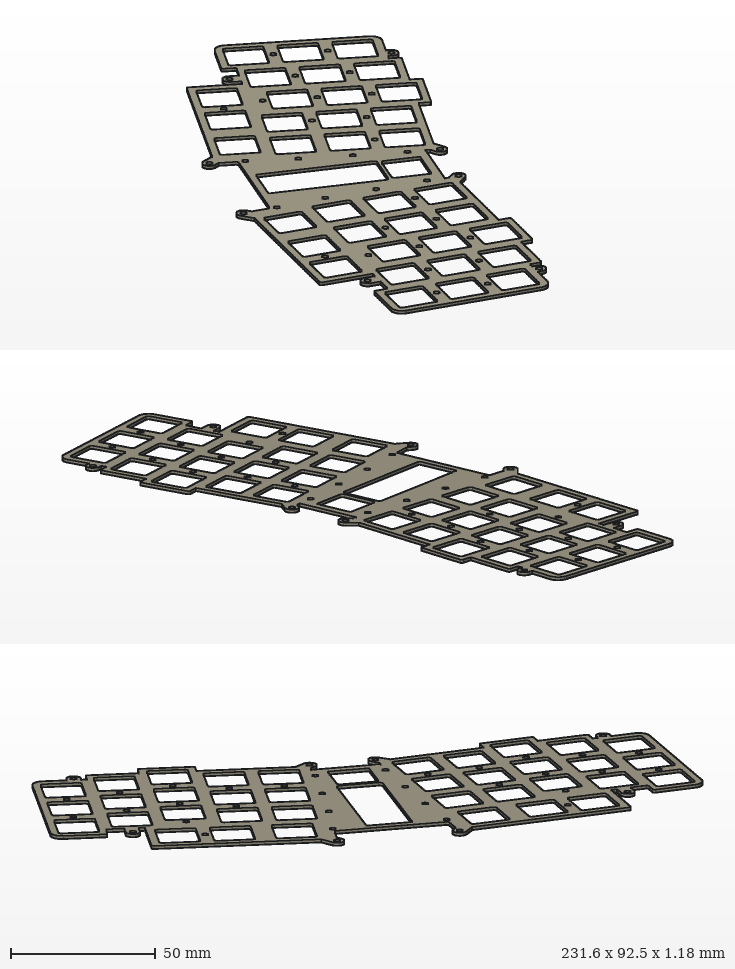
import cadquery as cq
import math

THICKNESS = 1.18
TILT = 7.0

PITCH = 19.05
SWITCH = 14.25
SWITCH_RADIUS = 1.0
INNER_COLUMN = 27.35
COLUMNS = [INNER_COLUMN + i * PITCH for i in range(5)]
COLUMN_STAGGER = [3.85, 3.85, 8.6, 3.85, -0.9]
ROWS = (-1, 0, 1)
THUMB_KEYS = [29.7, 51.2, 70.25]
THUMB_ROW = -34.25

MARGIN = 10.0
INNER_EDGE = 16.0
TALL_STEP = 4.5
THUMB_OUTER_EXTRA = 0.2
OUTER_TRIM = 0.08
OUTER_TOP_EXTRA = 0.35
NOTCH_EDGE = COLUMNS[3] + PITCH / 2
SHORT_TOP = COLUMN_STAGGER[0] + PITCH + MARGIN
TALL_TOP = SHORT_TOP + TALL_STEP
OUTER_TOP = COLUMN_STAGGER[4] + PITCH + MARGIN + OUTER_TOP_EXTRA
OUTER_BOTTOM = COLUMN_STAGGER[4] - PITCH - MARGIN
NOTCH_TOP = COLUMN_STAGGER[3] - 1.5 * PITCH
THUMB_OUTER = THUMB_KEYS[2] + MARGIN + THUMB_OUTER_EXTRA
THUMB_BOTTOM = THUMB_ROW - MARGIN
OUTER_EDGE = COLUMNS[4] + MARGIN - OUTER_TRIM
OUTER_RADIUS = 4.0
STEP_RADIUS = 0.7

TAB_RADIUS = 2.5
TAB_HOLE = 2.2
PLATE_HOLE = 2.1
TOP_TAB = (98.5, 30.0)
BOTTOM_TAB = (85.1, -28.5)
INNER_TOP_TAB = (16.0, 34.4)
INNER_BOTTOM_TAB = (16.3, -46.1)
INNER_TAB_ANGLE = 45
INNER_TAB_REACH = 5.0
INNER_HOLES_AT = 15.35
LOWER_HOLE = (16.25, -33.6)

PANEL_TOP = 31.0
PANEL_BOTTOM = -33.85
PANEL_OVERLAP = 2.0
PANEL_CORNER_RADIUS = 1.0
SMALL_WINDOW = (14.7, 13.6, 27.7)
LARGE_WINDOW = (16.3, -31.0, 12.2)
FACING_RADIUS = 1.2
FAR_RADIUS = 0.5


def disc(centre, diameter):
    return cq.Workplane("XY").center(*centre).circle(diameter / 2).extrude(THICKNESS)


def round_corners(body, corners, radius):
    """Fillet the upright edges standing on the given corner points."""
    for corner in corners:
        nearest = cq.selectors.NearestToPointSelector((*corner, THICKNESS / 2))
        body = body.edges("|Z").edges(nearest).fillet(radius)
    return body


def key_field():
    step_in = COLUMNS[2] - MARGIN
    step_out = COLUMNS[2] + MARGIN
    outline = [
        (INNER_EDGE, SHORT_TOP),
        (step_in, SHORT_TOP),
        (step_in, TALL_TOP),
        (step_out, TALL_TOP),
        (step_out, SHORT_TOP),
        (NOTCH_EDGE, SHORT_TOP),
        (NOTCH_EDGE, OUTER_TOP),
        (OUTER_EDGE, OUTER_TOP),
        (OUTER_EDGE, OUTER_BOTTOM),
        (NOTCH_EDGE, OUTER_BOTTOM),
        (NOTCH_EDGE, NOTCH_TOP),
        (THUMB_OUTER, NOTCH_TOP),
        (THUMB_OUTER, THUMB_BOTTOM),
        (INNER_EDGE, THUMB_BOTTOM),
    ]
    step_corners = [outline[i] for i in (2, 3, 5, 9, 10, 12)]
    outer_corners = outline[7:9]
    body = cq.Workplane("XY").polyline(outline).close().extrude(THICKNESS)
    body = round_corners(body, step_corners, STEP_RADIUS)
    return round_corners(body, outer_corners, OUTER_RADIUS)


def straight_tab(centre, root):
    """Round-ended tab running along V from the plate at height root."""
    u, v = centre
    width = 2 * TAB_RADIUS
    stem = cq.Workplane("XY").center(u, (v + root) / 2).rect(width, abs(v - root)).extrude(THICKNESS)
    return stem.union(disc(centre, width))


def slanted_tab(centre, direction):
    """Round-ended tab whose stem slants outward into the plate, rising (1) or falling (-1)."""
    width = 2 * TAB_RADIUS
    stem = cq.Workplane("XY").center(INNER_TAB_REACH / 2, 0).rect(INNER_TAB_REACH, width).extrude(THICKNESS)
    stem = stem.rotate((0, 0, 0), (0, 0, 1), INNER_TAB_ANGLE * direction).translate((*centre, 0))
    return stem.union(disc(centre, width))


def key_centres():
    main = [(u, v + row * PITCH) for u, v in zip(COLUMNS, COLUMN_STAGGER) for row in ROWS]
    return main + [(u, THUMB_ROW) for u in THUMB_KEYS]


def plate_hole_centres():
    """Holes midway between keys, beside the inner column and in the thumb row."""
    upper = [(u, v + PITCH / 2) for u, v in zip(COLUMNS, COLUMN_STAGGER)]
    lower = [(u, v - PITCH / 2) for u, v in zip(COLUMNS[1:], COLUMN_STAGGER[1:])]
    below_tall = (COLUMNS[2], COLUMN_STAGGER[2] - 1.5 * PITCH)
    beside = [(INNER_HOLES_AT, COLUMN_STAGGER[0] + row * PITCH) for row in ROWS]
    thumb = ((THUMB_KEYS[1] + THUMB_KEYS[2]) / 2, THUMB_ROW)
    return upper + lower + beside + [below_tall, thumb, LOWER_HOLE]


def tilted_edge_x(u, y):
    """X at height y of the right half's line of constant u."""
    angle = math.radians(TILT)
    return u / math.cos(angle) - y * math.tan(angle)


def centre_panel():
    side = INNER_EDGE + PANEL_OVERLAP
    top_x = tilted_edge_x(side, PANEL_TOP)
    bottom_x = tilted_edge_x(side, PANEL_BOTTOM)
    outline = [
        (-top_x, PANEL_TOP),
        (top_x, PANEL_TOP),
        (bottom_x, PANEL_BOTTOM),
        (-bottom_x, PANEL_BOTTOM),
    ]
    return cq.Workplane("XY").polyline(outline).close().extrude(THICKNESS)


def window(width, bottom, top, facing_side):
    """Window cutter; facing_side selects the end beside the other window."""
    far_side = "<Y" if facing_side == ">Y" else ">Y"
    body = cq.Workplane("XY").center(0, (bottom + top) / 2).rect(width, top - bottom).extrude(THICKNESS)
    body = body.faces(facing_side).edges("|Z").fillet(FACING_RADIUS)
    return body.faces(far_side).edges("|Z").fillet(FAR_RADIUS)


def half_body():
    """Solid right half with its tabs, before any opening is cut."""
    body = key_field()
    body = body.union(straight_tab(TOP_TAB, OUTER_TOP - TAB_RADIUS))
    body = body.union(straight_tab(BOTTOM_TAB, NOTCH_TOP + TAB_RADIUS))
    body = body.union(slanted_tab(INNER_TOP_TAB, -1))
    return body.union(slanted_tab(INNER_BOTTOM_TAB, 1))


def half_openings():
    switches = cq.Workplane("XY").pushPoints(key_centres()).rect(SWITCH, SWITCH).extrude(THICKNESS)
    switches = switches.edges("|Z").fillet(SWITCH_RADIUS)
    holes = cq.Workplane("XY").pushPoints(plate_hole_centres()).circle(PLATE_HOLE / 2).extrude(THICKNESS)
    tabs = [TOP_TAB, BOTTOM_TAB, INNER_TOP_TAB, INNER_BOTTOM_TAB]
    tab_holes = cq.Workplane("XY").pushPoints(tabs).circle(TAB_HOLE / 2).extrude(THICKNESS)
    return switches.union(holes).union(tab_holes)


def both_sides(half):
    """Tilt a right-half body into place and pair it with its mirror image."""
    right = half.rotate((0, 0, 0), (0, 0, 1), TILT)
    return [right, right.mirror("YZ")]


result = centre_panel()
for side in both_sides(half_body()):
    result = result.union(side)

corner_x = tilted_edge_x(INNER_EDGE, PANEL_BOTTOM)
panel_corners = [(-corner_x, PANEL_BOTTOM), (corner_x, PANEL_BOTTOM)]
result = round_corners(result, panel_corners, PANEL_CORNER_RADIUS)

for opening in both_sides(half_openings()):
    result = result.cut(opening)
result = result.cut(window(*SMALL_WINDOW, "<Y"))
result = result.cut(window(*LARGE_WINDOW, ">Y"))